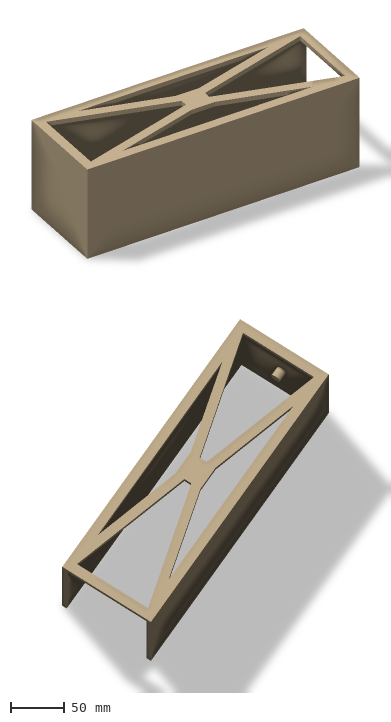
import cadquery as cq

length = 300.0
width = length / 3
height = width
wall = width / 20
top_thickness = wall

rim = width / 10
inner_half_x = width / 2 - rim
inner_half_y = length / 2 - rim
side_corner_y = 105.0
hub_half_x = 14.0
hub_half_y = 13.0
notch_half_x = 4.0

pin_diameter = 10.0
pin_length = 10.0


def opening(points):
    """Cutter through the top plate for one polygonal opening."""
    return (
        cq.Workplane("XY")
        .workplane(offset=height / 2 - top_thickness)
        .polyline(points)
        .close()
        .extrude(top_thickness)
    )


def make_housing():
    body = cq.Workplane("XY").box(width, length, height)
    cavity = cq.Workplane("XY").box(
        width - 2 * wall, length - wall, height - top_thickness
    ).translate((0, wall / 2, -top_thickness / 2))
    body = body.cut(cavity)
    for side in (-1, 1):
        end_opening = opening([
            (-inner_half_x, side * inner_half_y),
            (inner_half_x, side * inner_half_y),
            (notch_half_x, side * hub_half_y),
            (-notch_half_x, side * hub_half_y),
        ])
        side_opening = opening([
            (side * inner_half_x, -side_corner_y),
            (side * inner_half_x, side_corner_y),
            (side * hub_half_x, hub_half_y),
            (side * hub_half_x, -hub_half_y),
        ])
        body = body.cut(end_opening).cut(side_opening)
    return body


def make_pin(base, direction):
    """Round pin whose base centre touches a wall and which points inward."""
    return cq.Solid.makeCylinder(
        pin_diameter / 2, pin_length, cq.Vector(*base), cq.Vector(*direction)
    )


housing = make_housing()

pin_places = [
    ((-width / 2 + wall, 0, 0), (1, 0, 0)),
    ((0, -length / 2 + wall, 0), (0, 1, 0)),
]
pins = [make_pin(base, direction) for base, direction in pin_places]

result = cq.Compound.makeCompound([housing.val(), *pins])